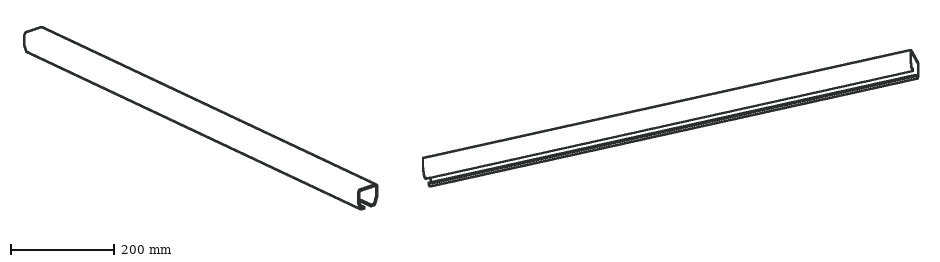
import cadquery as cq
import math

length = 1000.0
width = 48.5
height = 43.5

wall = 3.4
slot_width = 17.0
base_width = 36.7
straight_wall_depth = 27.2

top_bend_radius = 6.2
side_bend_radius = 4.8
base_bend_radius = 4.5

half_width = width / 2
half_height = height / 2
knee_z = half_height - straight_wall_depth
slope_angle = math.atan2(half_width - base_width / 2, knee_z + half_height)

pick_margin = 0.1

inner_half_width = half_width - wall
knee_shift = wall * math.tan(slope_angle / 2)
inner_knee_z = knee_z + knee_shift
lip_top_z = -half_height + wall
inner_base_half = inner_half_width - (inner_knee_z - lip_top_z) * math.tan(slope_angle)


def closed_section(corners, bend_radii):
    """Solid bar with a Y-mirrored outline; each corner pair is rounded by its radius."""
    mirrored = [(-y, z) for y, z in reversed(corners)]
    bar = cq.Workplane("YZ").polyline(corners + mirrored).close().extrude(length / 2, both=True)
    for (y, z), radius in zip(corners, bend_radii):
        for side in (-1, 1):
            spot = cq.selectors.BoxSelector(
                (-length, side * y - pick_margin, z - pick_margin),
                (length, side * y + pick_margin, z + pick_margin),
            )
            bar = bar.edges("|X").edges(spot).fillet(radius)
    return bar


def make_rail():
    """C-shaped rail: outer bar less its inner channel and the bottom slot."""
    bend_radii = [top_bend_radius, side_bend_radius, base_bend_radius]
    outer_corners = [
        (half_width, half_height),
        (half_width, knee_z),
        (base_width / 2, -half_height),
    ]
    inner_corners = [
        (inner_half_width, half_height - wall),
        (inner_half_width, inner_knee_z),
        (inner_base_half, lip_top_z),
    ]
    outer = closed_section(outer_corners, bend_radii)
    channel = closed_section(inner_corners, [radius - wall for radius in bend_radii])
    slot = cq.Workplane("XY").box(length, slot_width, half_height, centered=(True, True, False))
    slot = slot.translate((0, 0, -half_height))
    return outer.cut(channel).cut(slot)


result = make_rail()